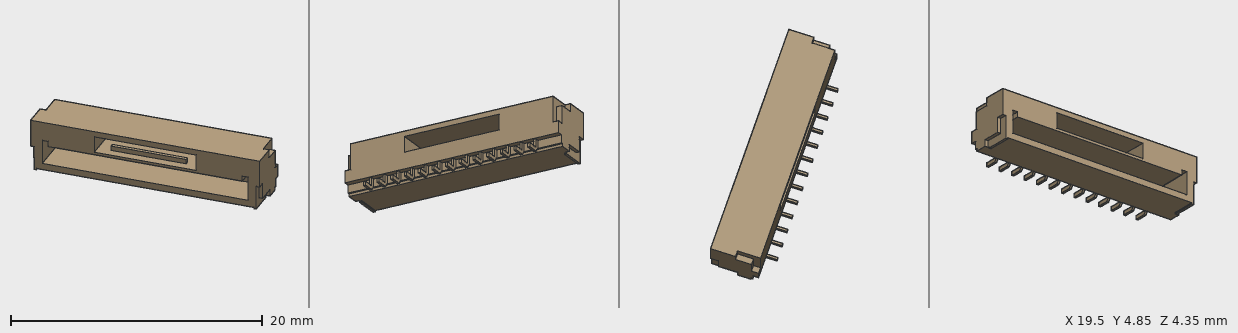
import cadquery as cq

length = 19.5
depth = 4.03
top_z = 4.35
underside_z = 0.11

pin_count = 13
pin_pitch = 1.25
pin_width = 0.2
pin_thickness = 0.35
pin_tip_y = 4.85
pin_front_y = 3.55
pin_bend_run = 0.27

relief_top_z = 1.05
relief_heel_y = 3.38

notch_width = 0.5
notch_front_y = 2.1
notch_floor_z = 3.65
notch_wall_y = 3.44
notch_bottom_z = 2.1

recess_depth = 0.3
recess_top_z = 2.03
recess_step_y = 0.66
recess_step_z = 0.7
recess_rear_y = 2.28
tab_thickness = 0.2
tab_rear_y = 2.2

slot_length = 17.5
slot_floor_z = 0.67
slot_ceiling_z = 2.27
slot_depth = 2.9
key_length = 0.5
key_top_z = 2.73

window_length = 8.65
window_floor_z = 2.51
window_top_z = 3.88
rib_length = 6.4
rib_top_z = 2.9
rib_front_y = 0.77
rib_thickness = 0.3


def box(x_range, y_range, z_range):
    """Box spanning the given (low, high) ranges."""
    (x0, x1), (y0, y1), (z0, z1) = x_range, y_range, z_range
    return cq.Workplane("XY").box(x1 - x0, y1 - y0, z1 - z0, centered=False).translate((x0, y0, z0))


def centred_box(x_length, y_range, z_range):
    """Box centred on X = 0."""
    return box((-x_length / 2, x_length / 2), y_range, z_range)


def side_profile(points, x_start, width):
    """Prism with a (Y, Z) outline, running along +X from x_start."""
    return cq.Workplane("YZ", origin=(x_start, 0, 0)).polyline(points).close().extrude(width)


def both_ends(left_shape):
    """The left-hand shape together with its mirror image at the right-hand end."""
    return left_shape.union(left_shape.mirror("YZ"))


def make_housing():
    outline = [
        (0, underside_z),
        (relief_heel_y, underside_z),
        (relief_heel_y, pin_thickness),
        (pin_front_y, pin_thickness),
        (pin_front_y, relief_top_z),
        (depth, relief_top_z),
        (depth, top_z),
        (0, top_z),
    ]
    return side_profile(outline, -length / 2, length)


def make_rear_notches():
    outline = [
        (notch_front_y, top_z),
        (notch_front_y, notch_floor_z),
        (notch_wall_y, notch_floor_z),
        (notch_wall_y, notch_bottom_z),
        (depth, notch_bottom_z),
        (depth, top_z),
    ]
    return both_ends(side_profile(outline, -length / 2, notch_width))


def recess_outline(rear_y):
    """L-shaped (Y, Z) outline reaching from the front face down to the seating plane."""
    return [
        (0, 0),
        (rear_y, 0),
        (rear_y, recess_step_z),
        (recess_step_y, recess_step_z),
        (recess_step_y, recess_top_z),
        (0, recess_top_z),
    ]


def make_tab_recesses():
    return both_ends(side_profile(recess_outline(recess_rear_y), -length / 2, recess_depth))


def make_solder_tabs():
    tab_x = -length / 2 + recess_depth
    return both_ends(side_profile(recess_outline(tab_rear_y), tab_x, tab_thickness))


def make_mating_slot():
    slot = centred_box(slot_length, (0, slot_depth), (slot_floor_z, slot_ceiling_z))
    slot_end = -slot_length / 2
    key = box((slot_end, slot_end + key_length), (0, slot_depth), (slot_floor_z, key_top_z))
    return slot.union(both_ends(key))


def make_window():
    return centred_box(window_length, (0, depth), (window_floor_z, window_top_z))


def make_rib():
    return centred_box(rib_length, (rib_front_y, rib_front_y + rib_thickness), (slot_ceiling_z, rib_top_z))


def make_pin(x):
    """Contact with a vertical leg and a foot pointing rearward, bevelled under the bend."""
    leg_rear_y = pin_front_y + pin_thickness
    outline = [
        (pin_front_y, relief_top_z),
        (pin_front_y, pin_thickness),
        (pin_front_y + pin_bend_run, 0),
        (pin_tip_y, 0),
        (pin_tip_y, pin_thickness),
        (leg_rear_y, pin_thickness),
        (leg_rear_y, relief_top_z),
    ]
    return side_profile(outline, x - pin_width / 2, pin_width)


result = make_housing()
result = result.cut(make_rear_notches()).cut(make_tab_recesses())
result = result.cut(make_mating_slot()).cut(make_window())
result = result.union(make_rib()).union(make_solder_tabs())
for index in range(pin_count):
    result = result.union(make_pin((index - (pin_count - 1) / 2) * pin_pitch))